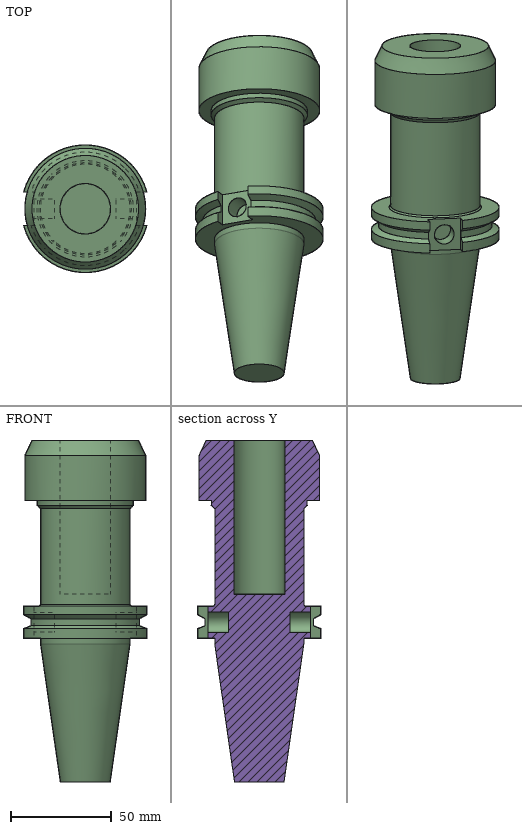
import cadquery as cq

total_height = 169.8
taper_top = 68.6
flange_bottom = 71.5
flange_top = 87.5
foot_height = 0.8
groove_outer_bottom = 76.3
groove_inner_bottom = 77.8
groove_inner_top = 81.2
groove_outer_top = 83.2
collar_bottom = 135.9
collar_chamfer_height = 1.7
nut_bottom = 140.0
nut_chamfer_height = 7.5

taper_end_radius = 12.4
body_radius = 22.3
foot_radius = 23.0
flange_radius = 31.8
groove_radius = 28.2
collar_radius = 24.0
nut_radius = 30.0
nut_face_radius = 26.5

bore_radius = 12.5
bore_depth = 76.5

slot_width = 16.5
slot_floor_distance = 25.5
slot_hole_radius = 5.0
slot_hole_depth = 10.2


def turned_body():
    """Revolve the holder: taper shank, grooved flange, body, collar and nut."""
    profile = [
        (0, 0),
        (taper_end_radius, 0),
        (body_radius, taper_top),
        (body_radius, flange_bottom),
        (flange_radius, flange_bottom),
        (flange_radius, groove_outer_bottom),
        (groove_radius, groove_inner_bottom),
        (groove_radius, groove_inner_top),
        (flange_radius, groove_outer_top),
        (flange_radius, flange_top),
        (foot_radius, flange_top),
        (body_radius, flange_top + foot_height),
        (body_radius, collar_bottom),
        (collar_radius, collar_bottom + collar_chamfer_height),
        (collar_radius, nut_bottom),
        (nut_radius, nut_bottom),
        (nut_radius, total_height - nut_chamfer_height),
        (nut_face_radius, total_height),
        (0, total_height),
    ]
    return cq.Workplane("XZ").polyline(profile).close().revolve(360, (0, 0, 0), (0, 1, 0))


def tool_bore():
    """Blind bore sunk from the nut face."""
    return cq.Workplane("XY", origin=(0, 0, total_height)).circle(bore_radius).extrude(-bore_depth)


def drive_slot(side):
    """Slot across the flange with a blind hole in its floor; side is -1 or 1 along X."""
    flange_middle = (flange_bottom + flange_top) / 2
    floor_plane = cq.Plane(
        origin=(side * slot_floor_distance, 0, flange_middle),
        xDir=(0, 1, 0),
        normal=(side, 0, 0),
    )
    slot = cq.Workplane(floor_plane).rect(slot_width, flange_top - flange_bottom).extrude(flange_radius)
    hole = cq.Workplane(floor_plane).circle(slot_hole_radius).extrude(-slot_hole_depth)
    return slot.union(hole)


result = turned_body().cut(tool_bore())
for slot_side in (-1, 1):
    result = result.cut(drive_slot(slot_side))